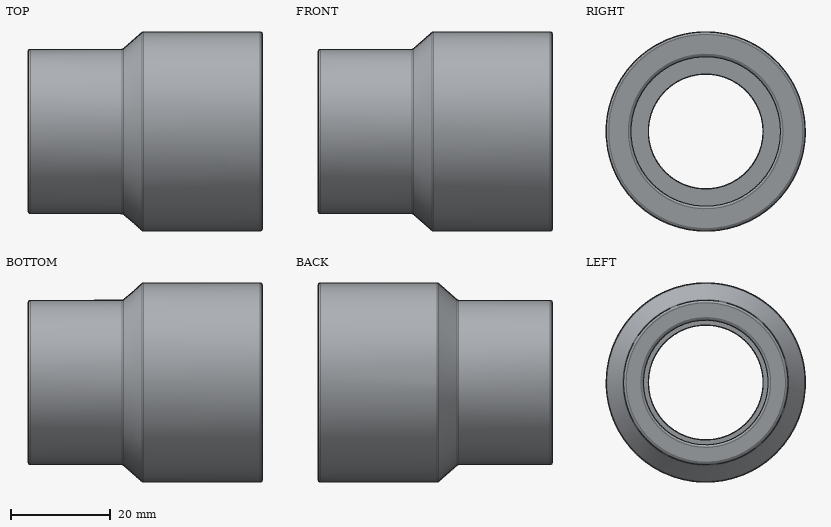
import cadquery as cq

total_length = 47.0
body_diameter = 40.0
neck_diameter = 33.0
neck_socket_diameter = 25.0
throat_diameter = 23.0
body_socket_diameter = 30.0
neck_length = 19.0
cone_length = 4.0
edge_radius = 0.5

body_start = neck_length + cone_length


def bore(diameter, start, end):
    """Cylinder on the X axis running from start to end."""
    return cq.Workplane("YZ", origin=(start, 0, 0)).circle(diameter / 2).extrude(end - start)


outside = (
    cq.Workplane("XY")
    .moveTo(0, 0)
    .lineTo(0, neck_diameter / 2)
    .lineTo(neck_length, neck_diameter / 2)
    .lineTo(body_start, body_diameter / 2)
    .lineTo(total_length, body_diameter / 2)
    .lineTo(total_length, 0)
    .close()
    .revolve(360, (0, 0, 0), (1, 0, 0))
)
outside = outside.edges("%CIRCLE").fillet(edge_radius)

neck_socket = bore(neck_socket_diameter, 0, neck_length)
throat = bore(throat_diameter, 0, total_length)
body_socket = bore(body_socket_diameter, body_start, total_length)
coupling = outside.cut(neck_socket).cut(throat).cut(body_socket)

neck_mouth = coupling.faces("<X").edges(cq.selectors.RadiusNthSelector(0))
coupling = neck_mouth.fillet(edge_radius)
body_mouth = coupling.faces(">X").edges(cq.selectors.RadiusNthSelector(0))
result = body_mouth.fillet(edge_radius)